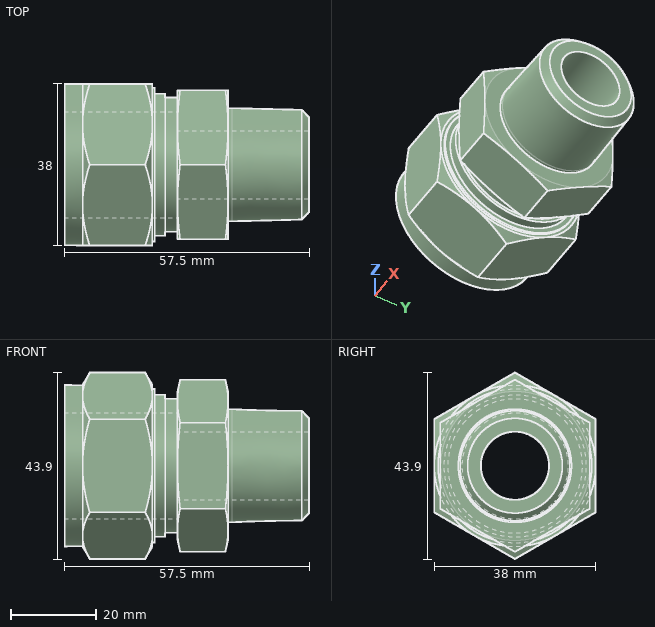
import cadquery as cq
import math

TOTAL_LENGTH = 57.5
COS_30 = math.cos(math.radians(30))

NUT_ACROSS_FLATS = 38.0
NUT_START = 4.2
NUT_END = 20.65
NUT_CHAMFER_ANGLE = 30.0

BODY_ACROSS_FLATS = 35.1
BODY_START = 26.45
BODY_END = 38.4
BODY_CHAMFER_ANGLE = 12.5
BODY_FACE_RADIUS = 17.15

WASHER_RADIUS = 18.1
WASHER_END = 21.2
SHOULDER_RADIUS = 16.75
SHOULDER_END = 23.65
NECK_RADIUS = 15.8

THREAD_START = 39.35
THREAD_ROOT_RADIUS = 13.35
THREAD_TIP_RADIUS = 12.95
TIP_CHAMFER_LENGTH = 1.7
TIP_FACE_RADIUS = 11.15

TUBE_SOCKET_RADIUS = 12.5
TUBE_SOCKET_DEPTH = BODY_START
BORE_RADIUS = 8.0


def cylinder(radius, start, end):
    """Solid round section between two X positions."""
    return cq.Workplane("YZ", origin=(start, 0, 0)).circle(radius).extrude(end - start)


def revolve_profile(points):
    """Turn a closed (x, radius) outline about the X axis."""
    return cq.Workplane("XY").polyline(points).close().revolve(360, (0, 0, 0), (1, 0, 0))


def chamfered_hexagon(across_flats, start, end, chamfer_angle, start_radius, end_radius):
    """Hexagon whose corners are trimmed by a cone at each end, leaving round end faces."""
    corner_radius = across_flats / 2 / COS_30
    hexagon = (
        cq.Workplane("YZ", origin=(start, 0, 0))
        .transformed(rotate=(0, 0, 90))
        .polygon(6, 2 * corner_radius)
        .extrude(end - start)
    )
    slope = math.tan(math.radians(chamfer_angle))
    start_setback = (corner_radius - start_radius) * slope
    end_setback = (corner_radius - end_radius) * slope
    envelope = revolve_profile([
        (start, 0),
        (start, start_radius),
        (start + start_setback, corner_radius),
        (end - end_setback, corner_radius),
        (end, end_radius),
        (end, 0),
    ])
    return hexagon.intersect(envelope)


nut_flat_radius = NUT_ACROSS_FLATS / 2
nut = cylinder(nut_flat_radius, 0, NUT_START).union(
    chamfered_hexagon(
        NUT_ACROSS_FLATS, NUT_START, NUT_END, NUT_CHAMFER_ANGLE, nut_flat_radius, nut_flat_radius
    )
)

shoulders = (
    cylinder(WASHER_RADIUS, NUT_END, WASHER_END)
    .union(cylinder(SHOULDER_RADIUS, WASHER_END, SHOULDER_END))
    .union(cylinder(NECK_RADIUS, SHOULDER_END, BODY_START))
)

body = chamfered_hexagon(
    BODY_ACROSS_FLATS, BODY_START, BODY_END, BODY_CHAMFER_ANGLE, BODY_FACE_RADIUS, BODY_ACROSS_FLATS / 2
)

tip_chamfer_start = TOTAL_LENGTH - TIP_CHAMFER_LENGTH
thread_end = revolve_profile([
    (BODY_END, 0),
    (BODY_END, THREAD_ROOT_RADIUS),
    (THREAD_START, THREAD_ROOT_RADIUS),
    (tip_chamfer_start, THREAD_TIP_RADIUS),
    (TOTAL_LENGTH, TIP_FACE_RADIUS),
    (TOTAL_LENGTH, 0),
])

socket = cylinder(TUBE_SOCKET_RADIUS, 0, TUBE_SOCKET_DEPTH)
bore = cylinder(BORE_RADIUS, 0, TOTAL_LENGTH)

result = nut.union(shoulders).union(body).union(thread_end).cut(socket).cut(bore)